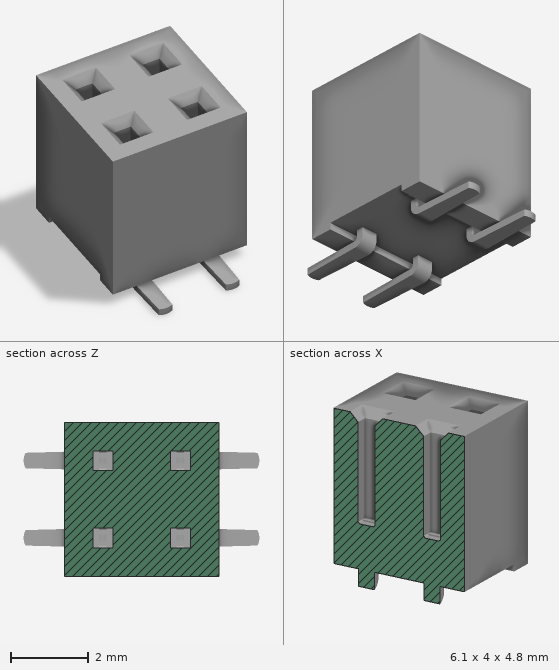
import cadquery as cq
import math

BODY_X = 4.0
BODY_Y = 4.0
BODY_BOTTOM = 0.3
BODY_TOP = 4.8
CHANNEL_WIDTH = 2.65
CHANNEL_TOP = 0.5

PITCH = 2.0

MOUTH_SIZE = 1.0
HOLE_SIZE = 0.5
FUNNEL_DEPTH = (MOUTH_SIZE - HOLE_SIZE) / 2
SOCKET_DEPTH = 3.0
RECESS_END_SLOPE = 0.04

LEAD_THICKNESS = 0.2
LEAD_WIDTH = 0.5
BEND_INNER_RADIUS = 0.1
BEND_OUTER_RADIUS = BEND_INNER_RADIUS + LEAD_THICKNESS
LEAD_SPAN = 6.1
TIP_WIDTH = 0.4
TIP_BULGE = 0.05


def make_housing():
    """Block with a channel along Y between the two feet."""
    height = BODY_TOP - BODY_BOTTOM
    block = cq.Workplane("XY").workplane(offset=BODY_BOTTOM).rect(BODY_X, BODY_Y).extrude(height)
    channel_height = CHANNEL_TOP - BODY_BOTTOM
    channel = (
        cq.Workplane("XY").workplane(offset=BODY_BOTTOM).rect(CHANNEL_WIDTH, BODY_Y)
        .extrude(channel_height)
    )
    return block.cut(channel)


def make_socket():
    """Cutter for one socket, centred on the Z axis."""
    floor = BODY_TOP - SOCKET_DEPTH
    funnel = (
        cq.Workplane("XY").workplane(offset=BODY_TOP).rect(MOUTH_SIZE, MOUTH_SIZE)
        .workplane(offset=-FUNNEL_DEPTH).rect(HOLE_SIZE, HOLE_SIZE)
        .loft(ruled=True)
    )
    hole = (
        cq.Workplane("XY").workplane(offset=floor).rect(HOLE_SIZE, HOLE_SIZE)
        .extrude(SOCKET_DEPTH - FUNNEL_DEPTH)
    )
    half_length = HOLE_SIZE / 2
    recess = (
        cq.Workplane("YZ")
        .moveTo(-half_length, floor)
        .lineTo(half_length, floor)
        .lineTo(half_length - RECESS_END_SLOPE, floor - RECESS_END_SLOPE)
        .lineTo(-half_length + RECESS_END_SLOPE, floor - RECESS_END_SLOPE)
        .close()
        .extrude(LEAD_THICKNESS / 2, both=True)
    )
    return funnel.union(hole).union(recess)


def make_lead():
    """One lead on the Y = 0 plane, its foot pointing to +X."""
    leg_inside = (PITCH - LEAD_THICKNESS) / 2
    leg_outside = leg_inside + LEAD_THICKNESS
    bend_x = leg_inside + BEND_OUTER_RADIUS
    bend_z = BEND_OUTER_RADIUS
    tip_x = LEAD_SPAN / 2
    diagonal = math.sqrt(0.5)
    profile = (
        cq.Workplane("XZ")
        .moveTo(leg_inside, CHANNEL_TOP)
        .lineTo(leg_inside, bend_z)
        .threePointArc(
            (bend_x - BEND_OUTER_RADIUS * diagonal, bend_z - BEND_OUTER_RADIUS * diagonal),
            (bend_x, 0),
        )
        .lineTo(tip_x, 0)
        .lineTo(tip_x, LEAD_THICKNESS)
        .lineTo(bend_x, LEAD_THICKNESS)
        .threePointArc(
            (bend_x - BEND_INNER_RADIUS * diagonal, bend_z - BEND_INNER_RADIUS * diagonal),
            (leg_outside, bend_z),
        )
        .lineTo(leg_outside, CHANNEL_TOP)
        .close()
        .extrude(LEAD_WIDTH / 2, both=True)
    )
    outline = (
        cq.Workplane("XY")
        .moveTo(leg_inside, -LEAD_WIDTH / 2)
        .lineTo(bend_x, -LEAD_WIDTH / 2)
        .lineTo(tip_x - TIP_BULGE, -TIP_WIDTH / 2)
        .threePointArc((tip_x, 0), (tip_x - TIP_BULGE, TIP_WIDTH / 2))
        .lineTo(bend_x, LEAD_WIDTH / 2)
        .lineTo(leg_inside, LEAD_WIDTH / 2)
        .close()
        .extrude(CHANNEL_TOP)
    )
    return profile.intersect(outline)


result = make_housing()
socket = make_socket()
right_lead = make_lead()
left_lead = right_lead.mirror("YZ")
for y in (-PITCH / 2, PITCH / 2):
    for x, lead in ((-PITCH / 2, left_lead), (PITCH / 2, right_lead)):
        result = result.cut(socket.translate((x, y, 0)))
        result = result.union(lead.translate((0, y, 0)))